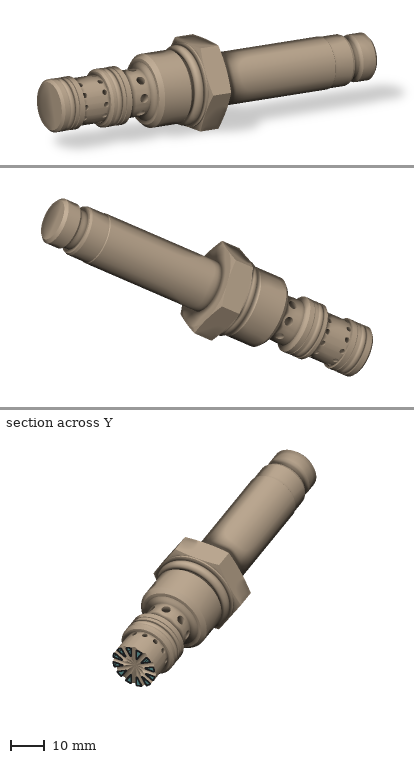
import cadquery as cq
import math

TOTAL_LENGTH = 108.7
TIP_Y = -TOTAL_LENGTH / 2

NOSE_LAND_END = 7.6
MIDDLE_LAND_START = 16.4
MIDDLE_LAND_END = 24.2
BODY_START = 30.6
BODY_END = 43.4
FLANGE_START = 46.4
HEX_START = 46.9
HEX_END = 54.1
TUBE_END = 93.7
COLLAR_END = 100.4
CAP_START = 102.6

NECK_D = 14.2
NOSE_LAND_D = 15.9
NOSE_CHAMFER = 0.8
MIDDLE_LAND_D = 17.5
MIDDLE_CHAMFER = 0.7
MIDDLE_CONE_LENGTH = 1.0

BODY_D = 22.1
BODY_STEP_D = 19.7
BODY_STEP_START = 31.8
BODY_CHAMFER_LENGTH = 1.3
BODY_CONE_D = 17.5
BODY_END_CHAMFER = 1.2

HEX_SIDES = 6
HEX_ACROSS_FLATS = 25.4
HEX_CHAMFER_D = HEX_ACROSS_FLATS
HEX_CHAMFER_ANGLE = 15.0
FLANGE_D = 25.2

TUBE_D = 15.9
COLLAR_D = 15.4
TUBE_CHAMFER = (TUBE_D - COLLAR_D) / 2
COLLAR_CHAMFER = 0.3
COLLAR_CHAMFER_LENGTH = 0.8
CAP_NECK_D = 12.4
CAP_D = 14.2
CAP_CHAMFER = (CAP_D - CAP_NECK_D) / 2

NOSE_GROOVE_D = 13.0
NOSE_GROOVE_START = 2.4
MIDDLE_GROOVE_D = 14.7
MIDDLE_GROOVE_START = 18.0
SEAL_GROOVES = [
    (NOSE_GROOVE_D, NOSE_LAND_D, NOSE_GROOVE_START),
    (MIDDLE_GROOVE_D, MIDDLE_LAND_D, MIDDLE_GROOVE_START),
]
GROOVE_WIDTH = 3.6
RING_WIDTH = 1.0
RING_GAP = 0.3
BEAD_SECTION_D = GROOVE_WIDTH - RING_WIDTH - RING_GAP
RING_CLEARANCE = 0.1

BODY_GROOVE_D = 19.1
BODY_BEAD_D = 24.0
BODY_BEAD_SECTION_D = 2.8

LARGE_PORT_D = 2.7
LARGE_PORT_COUNT = 8
LARGE_PORT_POSITION = 28.4
SMALL_PORT_D = 1.6
SMALL_PORT_COUNT = 12
SMALL_PORT_POSITIONS = [8.5, 15.3]


def revolve_about_axis(profile):
    """Turn a closed profile in the XY plane about the Y axis."""
    return profile.close().revolve(360, (0, 0, 0), (0, 1, 0))


def section(diameter, position):
    """Profile point on a diameter at a distance from the nose tip."""
    return (diameter / 2, TIP_Y + position)


def cylinder(diameter, start, end):
    return (
        cq.Workplane("XZ", origin=(0, TIP_Y + start, 0))
        .circle(diameter / 2)
        .extrude(-(end - start))
    )


def ring(inner_d, outer_d, start, width):
    return cylinder(outer_d, start, start + width).cut(cylinder(inner_d, start, start + width))


def turned_core():
    """Stepped round core from the nose tip to the cap."""
    points = [
        section(0, 0),
        section(NOSE_LAND_D - 2 * NOSE_CHAMFER, 0),
        section(NOSE_LAND_D, NOSE_CHAMFER),
        section(NOSE_LAND_D, NOSE_LAND_END),
        section(NECK_D, NOSE_LAND_END),
        section(NECK_D, MIDDLE_LAND_START),
        section(MIDDLE_LAND_D - 2 * MIDDLE_CHAMFER, MIDDLE_LAND_START),
        section(MIDDLE_LAND_D, MIDDLE_LAND_START + MIDDLE_CHAMFER),
        section(MIDDLE_LAND_D, MIDDLE_LAND_END - MIDDLE_CONE_LENGTH),
        section(NECK_D, MIDDLE_LAND_END),
        section(NECK_D, BODY_START),
        section(BODY_CONE_D, BODY_STEP_START),
        section(BODY_STEP_D, BODY_STEP_START),
        section(BODY_D, BODY_STEP_START + BODY_CHAMFER_LENGTH),
        section(BODY_D, BODY_END - BODY_END_CHAMFER),
        section(BODY_D - 2 * BODY_END_CHAMFER, BODY_END),
        section(BODY_GROOVE_D, BODY_END),
        section(BODY_GROOVE_D, FLANGE_START),
        section(FLANGE_D, FLANGE_START),
        section(FLANGE_D, HEX_START),
        section(TUBE_D, HEX_START),
        section(TUBE_D, TUBE_END - TUBE_CHAMFER),
        section(COLLAR_D, TUBE_END),
        section(COLLAR_D, COLLAR_END - COLLAR_CHAMFER_LENGTH),
        section(COLLAR_D - 2 * COLLAR_CHAMFER, COLLAR_END),
        section(CAP_NECK_D, COLLAR_END),
        section(CAP_NECK_D, CAP_START),
        section(CAP_D, CAP_START + CAP_CHAMFER),
        section(CAP_D, TOTAL_LENGTH - CAP_CHAMFER),
        section(CAP_D - 2 * CAP_CHAMFER, TOTAL_LENGTH),
        section(0, TOTAL_LENGTH),
    ]
    return revolve_about_axis(cq.Workplane("XY").polyline(points))


def hexagon():
    """Wrench hexagon with its corners along X, chamfered at both ends."""
    corner_d = HEX_ACROSS_FLATS / math.cos(math.pi / HEX_SIDES)
    prism = (
        cq.Workplane("XZ", origin=(0, TIP_Y + HEX_START, 0))
        .polygon(HEX_SIDES, corner_d)
        .extrude(-(HEX_END - HEX_START))
    )
    corner_drop = (corner_d - HEX_CHAMFER_D) / 2 * math.tan(math.radians(HEX_CHAMFER_ANGLE))
    chamfer_envelope = revolve_about_axis(
        cq.Workplane("XY").polyline([
            section(0, HEX_START),
            section(HEX_CHAMFER_D, HEX_START),
            section(corner_d, HEX_START + corner_drop),
            section(corner_d, HEX_END - corner_drop),
            section(HEX_CHAMFER_D, HEX_END),
            section(0, HEX_END),
        ])
    )
    return prism.intersect(chamfer_envelope)


def seal_bead(outer_d, section_d, position):
    """Round bead whose crest reaches outer_d."""
    centre_radius = (outer_d - section_d) / 2
    profile = cq.Workplane("XY").moveTo(-centre_radius, TIP_Y + position).circle(section_d / 2)
    return profile.revolve(360, (0, 0, 0), (0, 1, 0))


def radial_ports(diameter, count, position):
    """Cross drillings through the axis; each one opens two opposite ports."""
    drills = cq.Workplane("XY")
    for index in range(count // 2):
        drill = (
            cq.Workplane("XY", origin=(0, TIP_Y + position, 0))
            .circle(diameter / 2)
            .extrude(NECK_D, both=True)
            .rotate((0, 0, 0), (0, 1, 0), index * 360 / count)
        )
        drills = drills.add(drill)
    return drills.combine()


def valve_housing():
    housing = turned_core().union(hexagon())
    for groove_d, land_d, start in SEAL_GROOVES:
        housing = housing.cut(ring(groove_d, land_d, start, GROOVE_WIDTH))
        housing = housing.union(seal_bead(land_d, BEAD_SECTION_D, start + BEAD_SECTION_D / 2))
    body_bead_position = FLANGE_START - BODY_BEAD_SECTION_D / 2
    housing = housing.union(seal_bead(BODY_BEAD_D, BODY_BEAD_SECTION_D, body_bead_position))
    housing = housing.cut(radial_ports(LARGE_PORT_D, LARGE_PORT_COUNT, LARGE_PORT_POSITION))
    for position in SMALL_PORT_POSITIONS:
        housing = housing.cut(radial_ports(SMALL_PORT_D, SMALL_PORT_COUNT, position))
    return housing


def backup_ring(groove_d, land_d, groove_start):
    """Flat ring sitting just clear of the far wall of its groove."""
    start = groove_start + GROOVE_WIDTH - RING_GAP - RING_WIDTH
    return ring(groove_d + RING_CLEARANCE, land_d - RING_CLEARANCE, start, RING_WIDTH)


housing = valve_housing()
backup_rings = [backup_ring(*groove) for groove in SEAL_GROOVES]

result = cq.Compound.makeCompound([housing.val(), *[backup.val() for backup in backup_rings]])